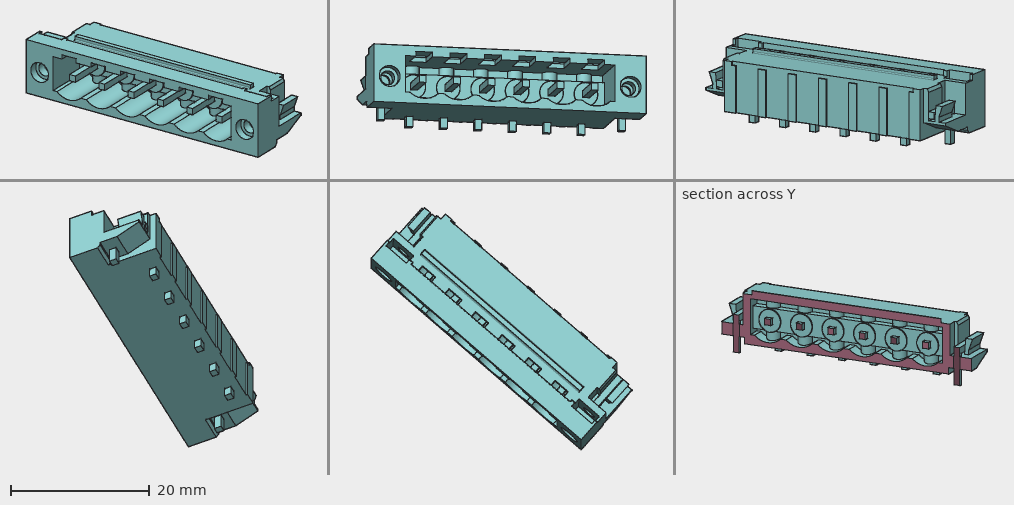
import cadquery as cq


WIDTH = 40.2
DEPTH = 12.0
HEIGHT = 7.6
HALF_WIDTH = WIDTH / 2

PITCH = 5.08
CONTACT_COUNT = 6
AXIS_Z = 3.83
LEG_LENGTH = 1.5

FRONT_HEIGHT = 8.45
FRONT_DEPTH = 3.15
FRONT_END_DEPTH = 3.5
FRONT_END_WIDTH = 4.87

CORE_INSET = 3.65
REAR_PANEL_INSET = 4.87
REAR_PANEL_DEPTH = 0.25
REAR_RIB_WIDTH = 1.3
REAR_RIB_HEIGHT = 7.05

ARM_REAR = 11.05
ARM_FRONT = 4.85
ARM_TIP_Z = 2.5
ARM_LOW_Z = 0.95
ARM_LOW_REAR = 7.55
FOOT_STEP_Z = 0.5
FOOT_FRONT = 4.45
NIB_SIZE = 0.1

POCKET_FLOOR = 2.9
POCKET_FRONT = 5.45
POCKET_WIDTH = 3.42
CHEEK_FRONT = 7.37
CHEEK_INSET = 2.8
CHEEK_CHAMFER_HEIGHT = 0.5
CHEEK_CHAMFER_WIDTH = 0.25

HOOK_OUTSIDE = 0.52
HOOK_NECK_OUTSIDE = 1.13
HOOK_INSIDE = 1.6
HOOK_FOOT_INSIDE = 1.8
HOOK_NECK_TOP = 3.63
HOOK_TOP = 5.3

CAVITY_INSET = 4.67
CAVITY_FLOOR = 1.57
CAVITY_ROOF = 6.93
CAVITY_DEPTH = 8.05
BORE_RADIUS = 3.05
BAND_BOTTOM = 2.3
BAND_TOP = 5.68
BAND_THICKNESS = 1.2
COLUMN_RADIUS = 1.1
COLLAR_RADIUS = 1.75
COLLAR_THICKNESS = 1.4

CODING_WIDTH = 2.45
CODING_DEPTH = 4.15

GRIP_LENGTH = 30.4
GRIP_FRONT = 5.28
GRIP_REAR = 6.05
GRIP_TOP = 8.2
GRIP_ROOT_RADIUS = 0.15

SCREW_INSET = 2.35
SCREW_RADIUS = 1.55
SCREW_TIP_RADIUS = 1.0
SCREW_STEP = 1.3
SCREW_DEPTH = 4.85
NUT_SLOT_WIDTH = 3.85
NUT_SLOT_FRONT = 2.78
NUT_SLOT_REAR = 4.25
NUT_SLOT_REAR_TOP = 4.4
NUT_SLOT_FLOOR = AXIS_Z - NUT_SLOT_WIDTH / 2

CONTACT_SIZE = 1.0
CONTACT_TIP = 0.93
CONTACT_REAR = 10.47

ANCHOR_WIDTH = 0.95
ANCHOR_OUTSIDE = CHEEK_INSET - ANCHOR_WIDTH
ANCHOR_BOTTOM = 3.25
ANCHOR_TOP = 4.25
ANCHOR_REAR = 11.15
ANCHOR_LEG_DEPTH = 1.1

contact_places = [(i - (CONTACT_COUNT - 1) / 2) * PITCH for i in range(CONTACT_COUNT)]


def block(x_range, y_range, z_range):
    """Box between two limits on each axis."""
    (x0, x1), (y0, y1), (z0, z1) = x_range, y_range, z_range
    return cq.Workplane("XY").box(x1 - x0, y1 - y0, z1 - z0, centered=False).translate((x0, y0, z0))


def centred_block(x, width, y_range, z_range):
    """Box centred on x."""
    return block((x - width / 2, x + width / 2), y_range, z_range)


def side_block(inset_range, y_range, z_range):
    """Box at the -X end, placed by its distances inward from that end."""
    return block([inset - HALF_WIDTH for inset in inset_range], y_range, z_range)


def side_profile(points, x0, x1):
    """Prism between x0 and x1 whose outline is given in (Y, Z)."""
    return cq.Workplane("YZ").polyline(points).close().extrude(x1 - x0).translate((x0, 0, 0))


def end_profile(points, y0, y1):
    """Prism between y0 and y1 whose outline is given in (inset from the -X end, Z)."""
    outline = [(inset - HALF_WIDTH, z) for inset, z in points]
    return cq.Workplane("XZ").polyline(outline).close().extrude(y0 - y1).translate((0, y0, 0))


def cylinder_y(x, radius, y0, y1):
    """Cylinder along Y at contact-axis height."""
    return cq.Workplane("XZ").center(x, AXIS_Z).circle(radius).extrude(y0 - y1).translate((0, y0, 0))


def both_ends(shape):
    """A shape at the -X end together with its mirror image at the +X end."""
    return shape.union(shape.mirror("YZ"))


def make_shell():
    """Mating block and core, without openings."""
    core_half = HALF_WIDTH - CORE_INSET
    panel_half = HALF_WIDTH - REAR_PANEL_INSET
    shell = block((-core_half, core_half), (0, DEPTH), (0, HEIGHT))
    shell = shell.cut(block((-panel_half, panel_half), (DEPTH - REAR_PANEL_DEPTH, DEPTH), (0, HEIGHT)))
    shell = shell.union(block((-HALF_WIDTH, HALF_WIDTH), (0, FRONT_DEPTH), (0, FRONT_HEIGHT)))
    return shell.union(
        both_ends(side_block((0, FRONT_END_WIDTH), (0, FRONT_END_DEPTH), (0, FRONT_HEIGHT)))
    )


def make_arms():
    """Side arms with their open pockets, sloped undersides and snap hooks."""
    outline = [
        (0, 0),
        (FOOT_FRONT, 0),
        (ARM_FRONT, FOOT_STEP_Z),
        (ARM_FRONT, ARM_LOW_Z),
        (ARM_LOW_REAR, ARM_LOW_Z),
        (ARM_REAR, ARM_TIP_Z),
        (ARM_REAR, HEIGHT),
        (0, HEIGHT),
    ]
    arm = side_profile(outline, -HALF_WIDTH, CORE_INSET - HALF_WIDTH)
    arm = arm.cut(side_block((0, CHEEK_INSET), (POCKET_FRONT, ARM_REAR), (POCKET_FLOOR, HEIGHT)))
    arm = arm.cut(side_block((0, POCKET_WIDTH), (POCKET_FRONT, CHEEK_FRONT), (POCKET_FLOOR, HEIGHT)))
    chamfer = [
        (CHEEK_INSET, HEIGHT),
        (CHEEK_INSET, HEIGHT - CHEEK_CHAMFER_HEIGHT),
        (CHEEK_INSET + CHEEK_CHAMFER_WIDTH, HEIGHT),
    ]
    arm = arm.cut(end_profile(chamfer, CHEEK_FRONT, ARM_REAR))
    hook = [
        (HOOK_NECK_OUTSIDE, POCKET_FLOOR),
        (HOOK_NECK_OUTSIDE, HOOK_NECK_TOP),
        (HOOK_OUTSIDE, HOOK_TOP),
        (HOOK_INSIDE, HOOK_TOP),
        (HOOK_FOOT_INSIDE, POCKET_FLOOR),
    ]
    return both_ends(arm.union(end_profile(hook, CHEEK_FRONT, ARM_REAR)))


def make_arm_nib():
    """Small nib on the tip of the +X arm."""
    return block(
        (HALF_WIDTH, HALF_WIDTH + NIB_SIZE), (ARM_REAR - NIB_SIZE, ARM_REAR), (ARM_TIP_Z, POCKET_FLOOR)
    )


def make_rear_ribs():
    """Ribs on the rear panel halfway between contacts, with half ribs at its two edges."""
    y_range = (DEPTH - REAR_PANEL_DEPTH, DEPTH)
    edge = REAR_PANEL_INSET
    ribs = both_ends(side_block((edge, edge + REAR_RIB_WIDTH / 2), y_range, (0, REAR_RIB_HEIGHT)))
    for x in contact_places[:-1]:
        ribs = ribs.union(centred_block(x + PITCH / 2, REAR_RIB_WIDTH, y_range, (0, REAR_RIB_HEIGHT)))
    return ribs


def make_grip_rib():
    """Grip rib along the top, with rounded roots on both long sides."""
    root = GRIP_ROOT_RADIUS
    outline = (
        cq.Workplane("YZ")
        .moveTo(GRIP_FRONT - root, HEIGHT)
        .radiusArc((GRIP_FRONT, HEIGHT + root), -root)
        .lineTo(GRIP_FRONT, GRIP_TOP)
        .lineTo(GRIP_REAR, GRIP_TOP)
        .lineTo(GRIP_REAR, HEIGHT + root)
        .radiusArc((GRIP_REAR + root, HEIGHT), -root)
        .close()
    )
    return outline.extrude(GRIP_LENGTH / 2, both=True)


def make_cavity():
    """Scalloped mating cavity, less the features that stand on its back wall."""
    half = HALF_WIDTH - CAVITY_INSET
    cavity = block((-half, half), (0, CAVITY_DEPTH), (CAVITY_FLOOR, CAVITY_ROOF))
    for x in contact_places:
        cavity = cavity.union(cylinder_y(x, BORE_RADIUS, 0, CAVITY_DEPTH))
    cavity = cavity.intersect(block((-half, half), (0, CAVITY_DEPTH), (0, HEIGHT)))
    band_y = (CAVITY_DEPTH - BAND_THICKNESS, CAVITY_DEPTH)
    cavity = cavity.cut(block((-half, half), band_y, (BAND_BOTTOM, BAND_TOP)))
    for x in contact_places:
        column = cq.Workplane("XY").center(x, CAVITY_DEPTH).circle(COLUMN_RADIUS).extrude(CAVITY_ROOF)
        cavity = cavity.cut(column)
        cavity = cavity.cut(cylinder_y(x, COLLAR_RADIUS, CAVITY_DEPTH - COLLAR_THICKNESS, CAVITY_DEPTH))
    return cavity


def make_coding_slots():
    """Slots in the cavity roof, open upward behind the raised front bar."""
    slots = cq.Workplane("XY")
    for x in contact_places:
        slots = slots.add(centred_block(x, CODING_WIDTH, (0, CODING_DEPTH), (AXIS_Z, HEIGHT)))
    return slots.combine()


def make_screw_holes():
    """Stepped screw holes and the nut slots, with leaning rear walls, that cross them."""
    x = SCREW_INSET - HALF_WIDTH
    hole = cylinder_y(x, SCREW_RADIUS, 0, SCREW_STEP)
    hole = hole.union(cylinder_y(x, SCREW_TIP_RADIUS, 0, SCREW_DEPTH))
    outline = [
        (NUT_SLOT_FRONT, NUT_SLOT_FLOOR),
        (NUT_SLOT_REAR, NUT_SLOT_FLOOR),
        (NUT_SLOT_REAR_TOP, HEIGHT),
        (NUT_SLOT_REAR_TOP, FRONT_HEIGHT),
        (NUT_SLOT_FRONT, FRONT_HEIGHT),
    ]
    nut_slot = side_profile(outline, x - NUT_SLOT_WIDTH / 2, x + NUT_SLOT_WIDTH / 2)
    return both_ends(hole.union(nut_slot))


def make_contact(x):
    """Right-angled contact: a pin in the cavity and a solder leg at the rear."""
    half = CONTACT_SIZE / 2
    pin = centred_block(x, CONTACT_SIZE, (CONTACT_TIP, CONTACT_REAR), (AXIS_Z - half, AXIS_Z + half))
    leg_y = (CONTACT_REAR - CONTACT_SIZE, CONTACT_REAR)
    return pin.union(centred_block(x, CONTACT_SIZE, leg_y, (-LEG_LENGTH, AXIS_Z)))


def make_anchor():
    """Anchor at the -X end: a bar lying over the arm and a leg down through it."""
    inset = (ANCHOR_OUTSIDE, ANCHOR_OUTSIDE + ANCHOR_WIDTH)
    bar = side_block(inset, (POCKET_FRONT, ANCHOR_REAR), (ANCHOR_BOTTOM, ANCHOR_TOP))
    leg_y = (POCKET_FRONT, POCKET_FRONT + ANCHOR_LEG_DEPTH)
    return bar.union(side_block(inset, leg_y, (-LEG_LENGTH, ANCHOR_TOP)))


contacts = [make_contact(x) for x in contact_places]
left_anchor = make_anchor()
anchors = [left_anchor, left_anchor.mirror("YZ")]

housing = make_shell().union(make_arms()).union(make_arm_nib())
housing = housing.union(make_rear_ribs()).union(make_grip_rib())
housing = housing.cut(make_cavity()).cut(make_coding_slots()).cut(make_screw_holes())
for insert in contacts + anchors:
    housing = housing.cut(insert)

result = cq.Compound.makeCompound([housing.val(), *[body.val() for body in contacts + anchors]])